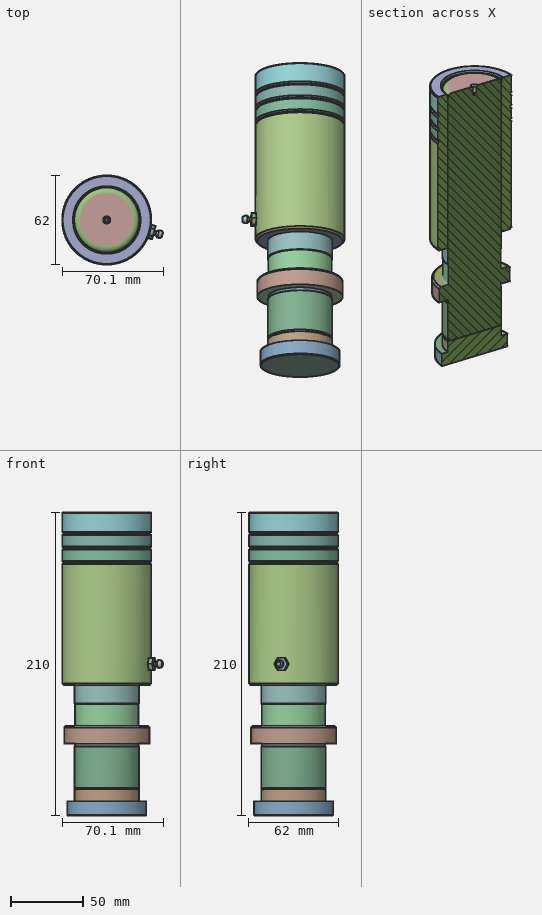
import cadquery as cq
import math

TOTAL_HEIGHT = 210.0
FLANGE_HEIGHT = 10.0
FOOT_TOP = 18.3
COLLAR_BOTTOM = 50.0
COLLAR_TOP = 62.2
RELIEF_TOP = 77.7
SLEEVE_BOTTOM = 90.3

POST_RADIUS = 22.5
RELIEF_RADIUS = 22.0
RELIEF_CHAMFER = POST_RADIUS - RELIEF_RADIUS
POST_END_CHAMFER = 1.3
POST_TOP_FILLET = 4.0
UNDERCUT_HEIGHT = 1.9
COLLAR_RADIUS = 29.6
COLLAR_CHAMFER = 1.3
COLLAR_FILLET = 0.6
CENTRE_HOLE_RADIUS = 1.3
CENTRE_SINK_RADIUS = 2.5
CENTRE_HOLE_DEPTH = 6.3
DRILL_TIP_HEIGHT = 0.8

FOOT_RADIUS = POST_RADIUS
FOOT_FLANGE_RADIUS = 27.5
FOOT_CHAMFER = 0.6

SLEEVE_RADIUS = 62.0 / 2
SLEEVE_TOP_CHAMFER = 0.6
SLEEVE_BOTTOM_CHAMFER = 1.5
BORE_CHAMFER = 1.0
GROOVE_COUNT = 3
GROOVE_PITCH = 10.0
FIRST_GROOVE_HEIGHT = 195.3
GROOVE_WIDTH = 2.5
GROOVE_DEPTH = 1.0
GROOVE_FLOOR_WIDTH = 0.5

NIPPLE_HEIGHT = 105.0
NIPPLE_ANGLE = -15.0
HEX_FLATS = 8.5
HEX_CORNER_RADIUS = HEX_FLATS / math.sqrt(3)
HEX_SEAT = math.sqrt(SLEEVE_RADIUS ** 2 - HEX_CORNER_RADIUS ** 2)
HEX_FACE = 33.8
NECK_RADIUS = 1.5
HEAD_RADIUS = 2.7
HEAD_START = 35.3
HEAD_WIDEST = 37.0
NOSE_MID = 38.8
NOSE_MID_RADIUS = 2.5
NIPPLE_TIP = 40.0
TIP_RADIUS = 1.7


def turned(outline):
    """Revolve a closed (radius, height) outline about the Z axis."""
    return outline.close().revolve(360, (0, 0, 0), (0, 1, 0))


def make_foot():
    outline = (
        cq.Workplane("XZ")
        .lineTo(FOOT_FLANGE_RADIUS - FOOT_CHAMFER, 0)
        .lineTo(FOOT_FLANGE_RADIUS, FOOT_CHAMFER)
        .lineTo(FOOT_FLANGE_RADIUS, FLANGE_HEIGHT)
        .lineTo(FOOT_RADIUS, FLANGE_HEIGHT)
        .lineTo(FOOT_RADIUS, FOOT_TOP)
        .lineTo(0, FOOT_TOP)
    )
    return turned(outline)


def make_post():
    undercut_bottom = COLLAR_BOTTOM - UNDERCUT_HEIGHT
    fillet_mid = POST_TOP_FILLET * (1 - math.sqrt(0.5))
    outline = (
        cq.Workplane("XZ")
        .moveTo(0, FOOT_TOP)
        .lineTo(POST_RADIUS - POST_END_CHAMFER, FOOT_TOP)
        .lineTo(POST_RADIUS, FOOT_TOP + POST_END_CHAMFER)
        .lineTo(POST_RADIUS, undercut_bottom - RELIEF_CHAMFER)
        .lineTo(RELIEF_RADIUS, undercut_bottom)
        .lineTo(RELIEF_RADIUS, COLLAR_BOTTOM)
        .lineTo(COLLAR_RADIUS, COLLAR_BOTTOM)
        .lineTo(COLLAR_RADIUS, COLLAR_TOP - COLLAR_CHAMFER)
        .lineTo(COLLAR_RADIUS - COLLAR_CHAMFER, COLLAR_TOP)
        .lineTo(RELIEF_RADIUS + COLLAR_FILLET, COLLAR_TOP)
        .radiusArc((RELIEF_RADIUS, COLLAR_TOP + COLLAR_FILLET), COLLAR_FILLET)
        .lineTo(RELIEF_RADIUS, RELIEF_TOP - RELIEF_CHAMFER)
        .lineTo(POST_RADIUS, RELIEF_TOP)
        .lineTo(POST_RADIUS, TOTAL_HEIGHT - POST_TOP_FILLET)
        .threePointArc(
            (POST_RADIUS - fillet_mid, TOTAL_HEIGHT - fillet_mid),
            (POST_RADIUS - POST_TOP_FILLET, TOTAL_HEIGHT),
        )
        .lineTo(CENTRE_SINK_RADIUS, TOTAL_HEIGHT)
        .lineTo(CENTRE_HOLE_RADIUS, TOTAL_HEIGHT - (CENTRE_SINK_RADIUS - CENTRE_HOLE_RADIUS))
        .lineTo(CENTRE_HOLE_RADIUS, TOTAL_HEIGHT - CENTRE_HOLE_DEPTH)
        .lineTo(0, TOTAL_HEIGHT - CENTRE_HOLE_DEPTH - DRILL_TIP_HEIGHT)
    )
    return turned(outline)


def make_groove(height):
    """Ring with sloping flanks, centred on the given height."""
    floor_radius = SLEEVE_RADIUS - GROOVE_DEPTH
    outline = (
        cq.Workplane("XZ")
        .moveTo(SLEEVE_RADIUS, height - GROOVE_WIDTH / 2)
        .lineTo(SLEEVE_RADIUS, height + GROOVE_WIDTH / 2)
        .lineTo(floor_radius, height + GROOVE_FLOOR_WIDTH / 2)
        .lineTo(floor_radius, height - GROOVE_FLOOR_WIDTH / 2)
    )
    return turned(outline)


def make_nipple():
    axis_angle = math.radians(NIPPLE_ANGLE)
    outward = cq.Vector(math.cos(axis_angle), math.sin(axis_angle), 0)
    sideways = cq.Vector(-math.sin(axis_angle), math.cos(axis_angle), 0)
    base = cq.Plane(origin=(0, 0, NIPPLE_HEIGHT), xDir=sideways, normal=outward)
    hexagon = (
        cq.Workplane(base)
        .workplane(offset=HEX_SEAT)
        .polygon(6, 2 * HEX_CORNER_RADIUS)
        .extrude(HEX_FACE - HEX_SEAT)
    )
    axial = cq.Plane(origin=(0, 0, NIPPLE_HEIGHT), xDir=(0, 0, 1), normal=sideways)
    head = (
        cq.Workplane(axial)
        .moveTo(0, HEX_FACE)
        .lineTo(NECK_RADIUS, HEX_FACE)
        .lineTo(NECK_RADIUS, HEAD_START)
        .lineTo(HEAD_RADIUS, HEAD_WIDEST)
        .threePointArc((NOSE_MID_RADIUS, NOSE_MID), (TIP_RADIUS, NIPPLE_TIP))
        .lineTo(0, NIPPLE_TIP)
        .close()
        .revolve(360, (0, 0, 0), (0, 1, 0))
    )
    return hexagon.union(head)


def make_sleeve(nipple):
    outline = (
        cq.Workplane("XZ")
        .moveTo(POST_RADIUS, SLEEVE_BOTTOM)
        .lineTo(SLEEVE_RADIUS - SLEEVE_BOTTOM_CHAMFER, SLEEVE_BOTTOM)
        .lineTo(SLEEVE_RADIUS, SLEEVE_BOTTOM + SLEEVE_BOTTOM_CHAMFER)
        .lineTo(SLEEVE_RADIUS, TOTAL_HEIGHT - SLEEVE_TOP_CHAMFER)
        .lineTo(SLEEVE_RADIUS - SLEEVE_TOP_CHAMFER, TOTAL_HEIGHT)
        .lineTo(POST_RADIUS + BORE_CHAMFER, TOTAL_HEIGHT)
        .lineTo(POST_RADIUS, TOTAL_HEIGHT - BORE_CHAMFER)
    )
    sleeve = turned(outline)
    for index in range(GROOVE_COUNT):
        sleeve = sleeve.cut(make_groove(FIRST_GROOVE_HEIGHT - index * GROOVE_PITCH))
    return sleeve.cut(nipple)


foot = make_foot()
post = make_post()
nipple = make_nipple()
sleeve = make_sleeve(nipple)

result = cq.Compound.makeCompound([foot.val(), post.val(), nipple.val(), sleeve.val()])